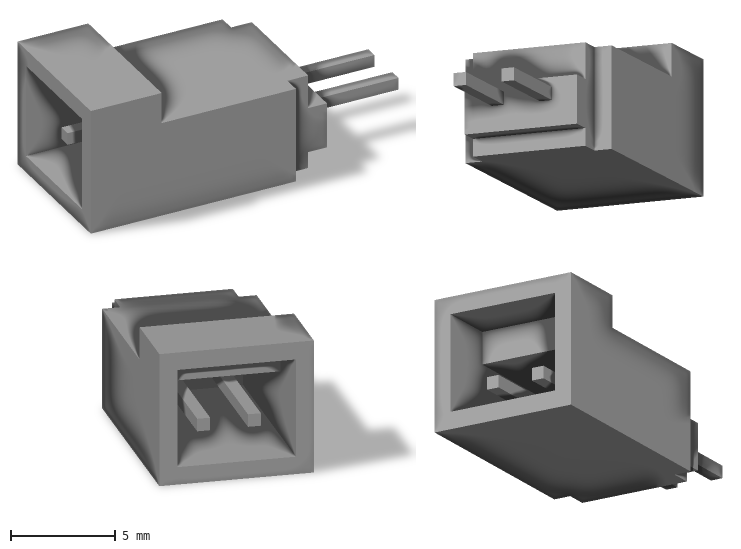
import cadquery as cq

width = 7.63
length = 17.78
hood_height = 6.74
wall = 0.89

body_height = 5.09
body_length = 11.06
hood_length = 3.82

neck_width = width - 2 * wall
neck_length = 1.12
plug_length = 1.01
plug_bottom = 0.87
plug_top = 3.29

pin_size = 0.64
pin_pitch = 2.5
pin_height = 2.47
pin_recess = 1.25
pin_offset = -0.05

cavity_width = width - 2 * wall
cavity_depth = body_length - wall

neck_end = body_length + neck_length
plug_end = neck_end + plug_length


def block(block_width, y_start, y_end, z_bottom, z_top):
    """Box centred on X between the given Y and Z limits."""
    size = (block_width, y_end - y_start, z_top - z_bottom)
    return cq.Workplane("XY").box(*size, centered=(True, False, False)).translate((0, y_start, z_bottom))


def housing():
    body = block(width, 0, body_length, 0, body_height)
    hood = block(width, 0, hood_length, 0, hood_height)
    neck = block(neck_width, body_length, neck_end, 0, body_height)
    plug = block(neck_width, neck_end, plug_end, plug_bottom, plug_top)
    return body.union(hood).union(neck).union(plug)


def cavity():
    """Pocket that follows the stepped roof with an even wall."""
    deep_part = block(cavity_width, 0, cavity_depth, wall, body_height - wall)
    hood_part = block(cavity_width, 0, hood_length - wall, wall, hood_height - wall)
    return deep_part.union(hood_part)


def pin(x_center):
    half = pin_size / 2
    bar = block(pin_size, pin_recess, length, pin_height - half, pin_height + half)
    return bar.translate((x_center, 0, 0))


result = housing().cut(cavity())
for side in (-1, 1):
    result = result.union(pin(pin_offset + side * pin_pitch / 2))